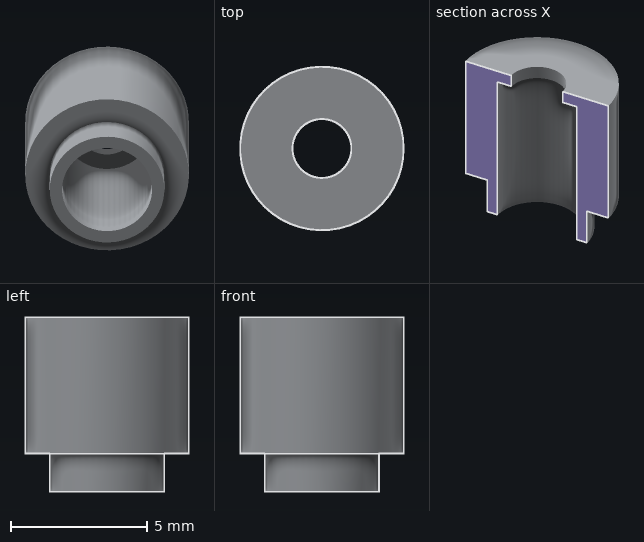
import cadquery as cq

body_diameter = 6.0
spigot_diameter = 4.2
total_height = 6.4
spigot_height = 1.4
body_height = total_height - spigot_height

top_hole_diameter = 2.15
bore_diameter = 3.3
lip_thickness = 0.5
bore_depth = total_height - lip_thickness


def cylinder(diameter, height, base_z):
    """Solid cylinder on the Z axis, standing on base_z."""
    return cq.Workplane("XY", origin=(0, 0, base_z)).circle(diameter / 2).extrude(height)


spigot_base_z = -spigot_height

body = cylinder(body_diameter, body_height, 0)
spigot = cylinder(spigot_diameter, spigot_height, spigot_base_z)
bore = cylinder(bore_diameter, bore_depth, spigot_base_z)
top_hole = cylinder(top_hole_diameter, total_height, spigot_base_z)

result = body.union(spigot).cut(bore).cut(top_hole)